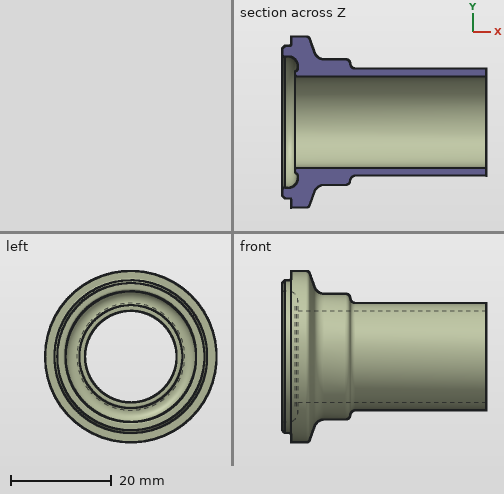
import cadquery as cq
import math

length = 40.5
flange_radius = 34.0 / 2
collar_radius = 25.0 / 2
tube_radius = 21.3 / 2
bore_radius = 18.1 / 2

spigot_radius = 30.3 / 2
spigot_chamfer = 0.55
spigot_root_fillet = 0.35
flange_face_x = 1.82

flange_rim_end_x = 4.78
flange_rim_fillet = 0.75
collar_start_x = 8.3
collar_root_fillet = 1.95
cone_angle = math.radians(70)

collar_end_x = 12.55
tube_start_x = 14.55

recess_radius = 12.9
recess_mouth_round = 0.55
recess_floor_radius = 1.95
lip_outer_radius = 10.2
lip_face_x = 2.55
lip_outer_round = 0.35
lip_bore_round = 0.32


right_angle = math.pi / 2
outward = right_angle
inward = -right_angle
inward_full = 3 * right_angle
backward = 0.0
forward = math.pi


def on_arc(center, radius, angle):
    """Point on an arc; the angle is measured from +X towards the outside."""
    return (center[0] + radius * math.cos(angle), center[1] + radius * math.sin(angle))


def add_arc(profile, center, radius, start, end):
    """Draw an arc from the current point, whose angle is start, to the end angle."""
    middle = on_arc(center, radius, (start + end) / 2)
    return profile.threePointArc(middle, on_arc(center, radius, end))


def add_outside(profile):
    """Outside outline, from the front face to the back end of the tube."""
    profile = profile.lineTo(0, spigot_radius - spigot_chamfer)
    profile = profile.lineTo(spigot_chamfer, spigot_radius)

    profile = profile.lineTo(flange_face_x - spigot_root_fillet, spigot_radius)
    root_center = (flange_face_x - spigot_root_fillet, spigot_radius + spigot_root_fillet)
    profile = add_arc(profile, root_center, spigot_root_fillet, inward, backward)

    profile = profile.lineTo(flange_face_x, flange_radius).lineTo(flange_rim_end_x, flange_radius)
    cone_normal = right_angle - cone_angle
    rim_center = (flange_rim_end_x, flange_radius - flange_rim_fillet)
    profile = add_arc(profile, rim_center, flange_rim_fillet, outward, cone_normal)
    collar_center = (collar_start_x, collar_radius + collar_root_fillet)
    profile = profile.lineTo(*on_arc(collar_center, collar_root_fillet, cone_normal + math.pi))
    profile = add_arc(profile, collar_center, collar_root_fillet, cone_normal - math.pi, inward)

    run = (tube_start_x - collar_end_x) / 2
    drop = (collar_radius - tube_radius) / 2
    step_radius = (run**2 + drop**2) / (2 * drop)
    turn = math.asin(run / step_radius)
    profile = profile.lineTo(collar_end_x, collar_radius)
    convex_center = (collar_end_x, collar_radius - step_radius)
    profile = add_arc(profile, convex_center, step_radius, outward, outward - turn)
    concave_center = (tube_start_x, tube_radius + step_radius)
    profile = add_arc(profile, concave_center, step_radius, inward - turn, inward)
    return profile.lineTo(length, tube_radius)


def add_inside(profile):
    """Inside outline, from the back end of the bore to the recess mouth."""
    profile = profile.lineTo(length, bore_radius)

    bore_round_center = (lip_face_x + lip_bore_round, bore_radius + lip_bore_round)
    profile = profile.lineTo(bore_round_center[0], bore_radius)
    profile = add_arc(profile, bore_round_center, lip_bore_round, inward_full, forward)
    outer_round_center = (lip_face_x + lip_outer_round, lip_outer_radius - lip_outer_round)
    profile = profile.lineTo(lip_face_x, outer_round_center[1])
    profile = add_arc(profile, outer_round_center, lip_outer_round, forward, outward)

    recess_end = (recess_mouth_round, recess_radius)
    profile = profile.radiusArc(recess_end, -recess_floor_radius)
    mouth_center = (recess_mouth_round, recess_radius + recess_mouth_round)
    return add_arc(profile, mouth_center, recess_mouth_round, inward_full, forward)


front_face_start = cq.Workplane("XY").moveTo(0, recess_radius + recess_mouth_round)
profile = add_inside(add_outside(front_face_start)).close()
result = profile.revolve(360, (0, 0, 0), (1, 0, 0))